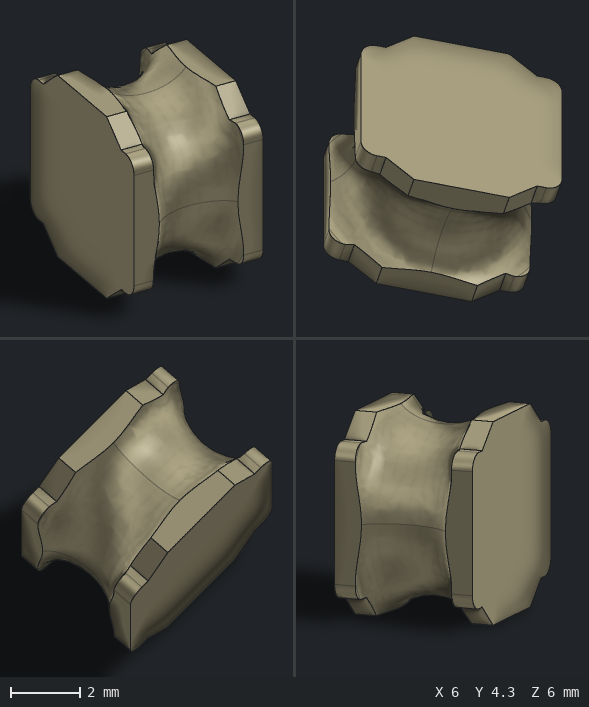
import cadquery as cq

WIDTH = 6.0
LENGTH = 4.3
HALF = WIDTH / 2

FLAT_HALF = 1.42
SHOULDER_X = 2.255
SHOULDER_Z = 2.305
CORNER_RADIUS = 0.48

WAIST_RADIUS = 2.5
GROOVE_DEPTH = 0.98
GROOVE_HALF = 1.5
RIM_RADIUS = WAIST_RADIUS + GROOVE_DEPTH
CLEARANCE_RADIUS = 4.2
SEAM_ANGLE = 45.0


def quarter_prism():
    """Full-length bar with the +X, +Z quarter of the flange outline."""
    corner_start = HALF - CORNER_RADIUS
    side_end = SHOULDER_Z - CORNER_RADIUS
    return (
        cq.Workplane("XZ")
        .lineTo(0, HALF)
        .lineTo(FLAT_HALF, HALF)
        .lineTo(SHOULDER_X, SHOULDER_Z)
        .lineTo(corner_start, SHOULDER_Z)
        .radiusArc((HALF, side_end), CORNER_RADIUS)
        .lineTo(HALF, 0)
        .close()
        .extrude(LENGTH / 2, both=True)
    )


def waist_groove():
    """Ring whose inner surface is the concave waist and whose ends are the flange inner faces."""
    return (
        cq.Workplane("XY")
        .moveTo(CLEARANCE_RADIUS, GROOVE_HALF)
        .lineTo(RIM_RADIUS, GROOVE_HALF)
        .ellipseArc(GROOVE_DEPTH, GROOVE_HALF, 90, 270, startAtCurrent=True)
        .lineTo(CLEARANCE_RADIUS, -GROOVE_HALF)
        .close()
        .revolve(360, (0, 0, 0), (0, 1, 0))
        .rotate((0, 0, 0), (0, 1, 0), SEAM_ANGLE)
    )


quarter = quarter_prism().cut(waist_groove())
half = quarter.union(quarter.mirror("YZ"))
result = half.union(half.mirror("XY"))